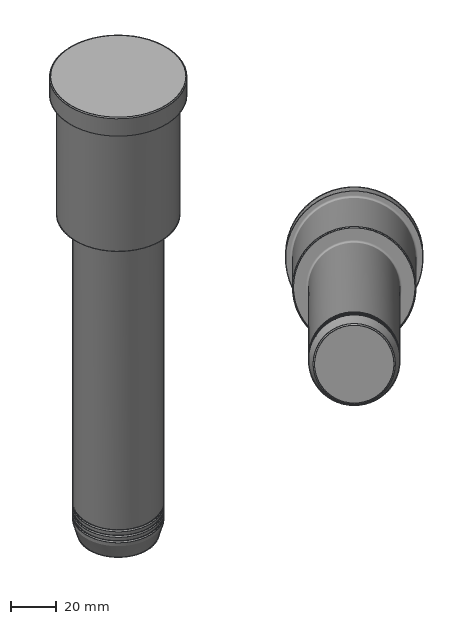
import cadquery as cq
import math

total_length = 251.0
head_height = 10.0
body_length = 66.0
nose_length = 8.0

head_diameter = 60.0
body_diameter = 54.0
shank_diameter = 40.0

head_chamfer = 0.5
body_chamfer = 0.5
tip_chamfer = 0.5
corner_fillet = 1.0

nose_half_angle = 15.0
groove_count = 3
groove_radius = 0.5
groove_pitch = 3.0

head_radius = head_diameter / 2
body_radius = body_diameter / 2
shank_radius = shank_diameter / 2

land_height = groove_pitch - 2 * groove_radius
first_groove = nose_length + land_height + groove_radius

head_bottom = total_length - head_height
body_bottom = head_bottom - body_length

nose_slope = math.tan(math.radians(nose_half_angle))
tip_radius = shank_radius - nose_length * nose_slope


def stepped_pin():
    """Revolve the half section: chamfered tip, nose, shank, body and head."""
    tip_chamfer_top_radius = tip_radius + tip_chamfer * nose_slope
    section = (
        cq.Workplane("XZ")
        .lineTo(tip_radius - tip_chamfer, 0)
        .lineTo(tip_chamfer_top_radius, tip_chamfer)
        .lineTo(shank_radius, nose_length)
        .lineTo(shank_radius, body_bottom - corner_fillet)
        .radiusArc((shank_radius + corner_fillet, body_bottom), corner_fillet)
        .lineTo(body_radius - body_chamfer, body_bottom)
        .lineTo(body_radius, body_bottom + body_chamfer)
        .lineTo(body_radius, head_bottom - corner_fillet)
        .radiusArc((body_radius + corner_fillet, head_bottom), corner_fillet)
        .lineTo(head_radius, head_bottom)
        .lineTo(head_radius, total_length - head_chamfer)
        .lineTo(head_radius - head_chamfer, total_length)
        .lineTo(0, total_length)
        .close()
    )
    return section.revolve(360, (0, 0), (0, 1))


def groove_ring(height):
    """Ring of round section centred on the shank surface at the given height."""
    return (
        cq.Workplane("XZ")
        .center(shank_radius, height)
        .circle(groove_radius)
        .revolve(360, (-shank_radius, 0), (-shank_radius, 1))
    )


result = stepped_pin()
for step in range(groove_count):
    result = result.cut(groove_ring(first_groove + step * groove_pitch))